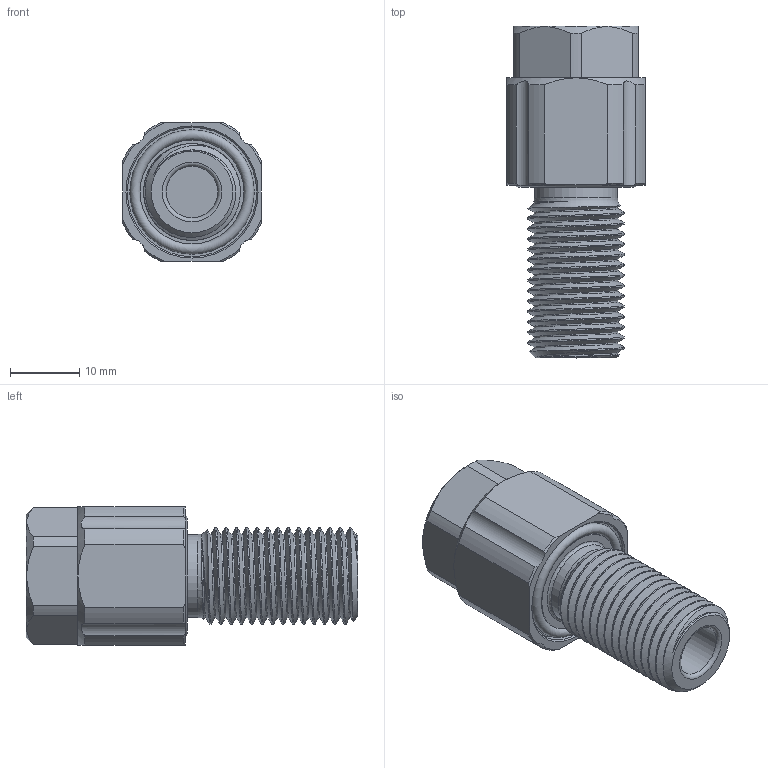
import cadquery as cq
import math


collar_flats = 20.0
collar_length = 15.5
collar_corner_radius = 11.0
collar_back_chamfer = 1.0
collar_front_chamfer = 0.25
flute_radius = 2.0
flute_centre_radius = 12.45
flute_count = 4
flute_start_angle = 45

stem_length = 25.0
thread_major_radius = 7.0
thread_pitch = 1.5
thread_depth = 0.6134 * thread_pitch
thread_minor_radius = thread_major_radius - thread_depth
crest_width = thread_pitch / 8
flank_half_angle = math.radians(30)
first_crest_offset = 3.3
tip_chamfer = 1.1
relief_radius = 6.0
relief_length = 1.85
relief_runout_radius = 1.6
base_fillet = 0.4
bore_radius = 3.75
bore_mouth_fillet = 0.55

ring_section_radius = 0.75
ring_centre_radius = 8.25
ring_protrusion = 0.3
ring_centre_y = ring_section_radius - ring_protrusion
groove_inner_radius = ring_centre_radius - ring_section_radius
groove_outer_radius = 9.35
groove_depth = ring_centre_y + ring_section_radius
groove_mouth_chamfer = 0.2

cap_sides = 6
cap_flats = 18.0
cap_length = 7.5
cap_corner_radius = 9.95
cap_chamfer = 1.05


def revolve_about_y(profile):
    """Turn a closed profile drawn in the XY plane about the Y axis."""
    return profile.close().revolve(360, (0, 0, 0), (0, 1, 0))


def bar_along_y(section, start, length):
    """Extrude a section toward +Y; `section` draws it on the sketch plane it is given."""
    plane = cq.Plane(origin=(0, start, 0), xDir=(-1, 0, 0), normal=(0, 1, 0))
    return section(cq.Workplane(plane)).extrude(length)


def make_collar():
    square = bar_along_y(lambda p: p.rect(collar_flats, collar_flats), 0, collar_length)
    turned = revolve_about_y(
        cq.Workplane("XY")
        .lineTo(collar_corner_radius - collar_front_chamfer, 0)
        .lineTo(collar_corner_radius, collar_front_chamfer)
        .lineTo(collar_corner_radius, collar_length - collar_back_chamfer)
        .lineTo(collar_corner_radius - collar_back_chamfer, collar_length)
        .lineTo(0, collar_length)
    )
    flutes = bar_along_y(
        lambda p: p.polarArray(flute_centre_radius, flute_start_angle, 360, flute_count).circle(flute_radius),
        0,
        collar_length,
    )
    return square.intersect(turned).cut(flutes)


def make_stem_envelope():
    runout_rise = thread_major_radius - relief_radius
    runout_length = math.sqrt(relief_runout_radius**2 - (relief_runout_radius - runout_rise) ** 2)
    return revolve_about_y(
        cq.Workplane("XY")
        .lineTo(relief_radius + base_fillet, 0)
        .radiusArc((relief_radius, -base_fillet), -base_fillet)
        .lineTo(relief_radius, -relief_length)
        .radiusArc((thread_major_radius, -relief_length - runout_length), -relief_runout_radius)
        .lineTo(thread_major_radius, -stem_length + tip_chamfer)
        .lineTo(thread_major_radius - tip_chamfer, -stem_length)
        .lineTo(0, -stem_length)
    )


def make_thread_groove():
    """Right-handed helical groove about Z, bounded by ruled faces between four helices."""
    overshoot = 0.05
    slope = math.tan(flank_half_angle)
    top_half_width = (thread_pitch - crest_width) / 2
    root_half_width = top_half_width - thread_depth * slope
    tool_radius = thread_major_radius + overshoot
    tool_half_width = top_half_width + overshoot * slope

    start = first_crest_offset - 2 * thread_pitch
    turns = math.ceil((stem_length - start) / thread_pitch)
    corners = [
        (thread_minor_radius, -root_half_width),
        (tool_radius, -tool_half_width),
        (tool_radius, tool_half_width),
        (thread_minor_radius, root_half_width),
    ]
    helices = [
        cq.Wire.makeHelix(thread_pitch, turns * thread_pitch, radius, cq.Vector(0, 0, start + shift))
        for radius, shift in corners
    ]
    neighbours = helices[1:] + helices[:1]
    faces = [cq.Face.makeRuledSurface(edge, other) for edge, other in zip(helices, neighbours)]
    for ends in ([h.startPoint() for h in helices], [h.endPoint() for h in helices]):
        faces.append(cq.Face.makeFromWires(cq.Wire.makePolygon(ends, close=True)))
    return cq.Solid.makeSolid(cq.Shell.makeShell(faces))


def make_stem():
    rod = cq.Workplane("XY").circle(thread_major_radius).extrude(stem_length)
    threaded_rod = rod.cut(cq.Workplane(make_thread_groove()))
    threaded_rod = threaded_rod.rotate((0, 0, 0), (1, 0, 0), 90)
    return threaded_rod.intersect(make_stem_envelope())


def make_ring_groove():
    return revolve_about_y(
        cq.Workplane("XY")
        .moveTo(groove_inner_radius, 0)
        .lineTo(groove_inner_radius, groove_depth)
        .lineTo(groove_outer_radius, groove_depth)
        .lineTo(groove_outer_radius, groove_mouth_chamfer)
        .lineTo(groove_outer_radius + groove_mouth_chamfer, 0)
    )


def make_bore():
    """Bore through stem and collar, rounded at the stem mouth and closed by the cap."""
    mouth_radius = bore_radius + bore_mouth_fillet
    return revolve_about_y(
        cq.Workplane("XY")
        .moveTo(0, -stem_length)
        .lineTo(mouth_radius, -stem_length)
        .radiusArc((bore_radius, -stem_length + bore_mouth_fillet), bore_mouth_fillet)
        .lineTo(bore_radius, collar_length)
        .lineTo(0, collar_length)
    )


def make_body():
    return make_collar().cut(make_ring_groove()).union(make_stem()).cut(make_bore())


def make_sealing_ring():
    section = cq.Workplane("XY").center(ring_centre_radius, ring_centre_y).circle(ring_section_radius)
    return section.revolve(360, (-ring_centre_radius, 0, 0), (-ring_centre_radius, 1, 0))


def make_cap():
    cap_end = collar_length + cap_length
    half_side_angle = 180 / cap_sides
    corner_diameter = cap_flats / math.cos(math.radians(half_side_angle))
    hexagon = bar_along_y(lambda p: p.polygon(cap_sides, corner_diameter), collar_length, cap_length)
    hexagon = hexagon.rotate((0, 0, 0), (0, 1, 0), half_side_angle)
    turned = revolve_about_y(
        cq.Workplane("XY")
        .moveTo(0, collar_length)
        .lineTo(cap_corner_radius, collar_length)
        .lineTo(cap_corner_radius, cap_end - cap_chamfer)
        .lineTo(cap_corner_radius - cap_chamfer, cap_end)
        .lineTo(0, cap_end)
    )
    return hexagon.intersect(turned)


body = make_body()
sealing_ring = make_sealing_ring()
cap = make_cap()

result = cq.Compound.makeCompound([body.val(), sealing_ring.val(), cap.val()])